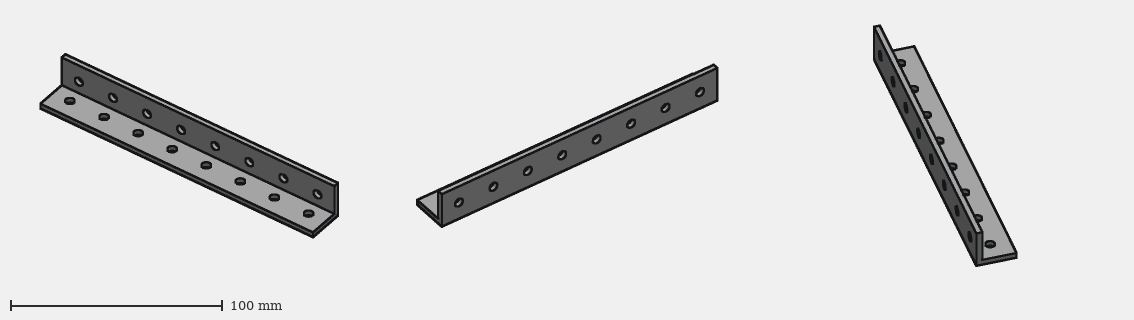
import cadquery as cq

length = 160.0
leg = 20.0
thickness = 3.0

hole_diameter = 4.5
hole_count = 8
hole_pitch = length / hole_count
hole_offset = leg / 2


def angle_bar():
    """L-shaped bar: flat leg on the bottom, upright leg along the +Y edge."""
    flat_leg = cq.Workplane("XY").box(length, leg, thickness, centered=False)
    upright_leg = (
        cq.Workplane("XY")
        .box(length, thickness, leg, centered=False)
        .translate((0, leg - thickness, 0))
    )
    return flat_leg.union(upright_leg)


def hole_row(start, direction):
    """Row of cylinders, one leg thickness long, spaced evenly along X from the start point."""
    row = cq.Workplane("XY")
    for index in range(hole_count):
        base = start + cq.Vector(index * hole_pitch, 0, 0)
        row = row.add(cq.Solid.makeCylinder(hole_diameter / 2, thickness, base, direction))
    return row.combine()


first_hole_x = hole_pitch / 2
flat_leg_holes = hole_row(
    cq.Vector(first_hole_x, leg - hole_offset, 0), cq.Vector(0, 0, 1)
)
upright_leg_holes = hole_row(
    cq.Vector(first_hole_x, leg, hole_offset), cq.Vector(0, -1, 0)
)

result = angle_bar().cut(flat_leg_holes).cut(upright_leg_holes)